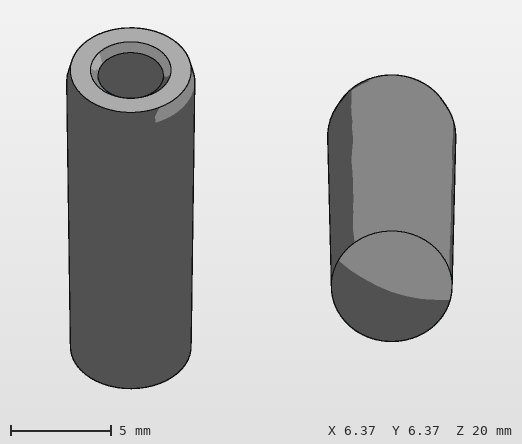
import cadquery as cq
import math

length = 20.0
small_diameter = 6.0
taper = 1 / 50
end_height = 0.8
top_face_diameter = 6.0

hole_diameter = 3.25
hole_depth = 10.0
drill_point_angle = 120.0
countersink_diameter = 4.0
countersink_angle = 90.0

small_radius = small_diameter / 2
taper_top = length - end_height
large_radius = small_radius + (taper_top - end_height) * taper / 2
top_face_radius = top_face_diameter / 2


def pin_body():
    """Revolve the domed, tapered and chamfered outline about Z."""
    dome_radius = (small_radius**2 + end_height**2) / (2 * end_height)
    half_angle = math.asin(small_radius / dome_radius) / 2
    dome_midpoint = (
        dome_radius * math.sin(half_angle),
        dome_radius * (1 - math.cos(half_angle)),
    )
    return (
        cq.Workplane("XZ")
        .moveTo(0, 0)
        .threePointArc(dome_midpoint, (small_radius, end_height))
        .lineTo(large_radius, taper_top)
        .lineTo(top_face_radius, length)
        .lineTo(0, length)
        .close()
        .revolve(360, (0, 0, 0), (0, 1, 0))
    )


def drilled_hole():
    """Revolve the countersunk hole with its conical drill point about Z."""
    hole_radius = hole_diameter / 2
    countersink_radius = countersink_diameter / 2
    countersink_depth = (countersink_radius - hole_radius) / math.tan(math.radians(countersink_angle / 2))
    point_depth = hole_radius / math.tan(math.radians(drill_point_angle / 2))
    hole_bottom = length - hole_depth
    return (
        cq.Workplane("XZ")
        .moveTo(0, length)
        .lineTo(countersink_radius, length)
        .lineTo(hole_radius, length - countersink_depth)
        .lineTo(hole_radius, hole_bottom)
        .lineTo(0, hole_bottom - point_depth)
        .close()
        .revolve(360, (0, 0, 0), (0, 1, 0))
    )


result = pin_body().cut(drilled_hole())